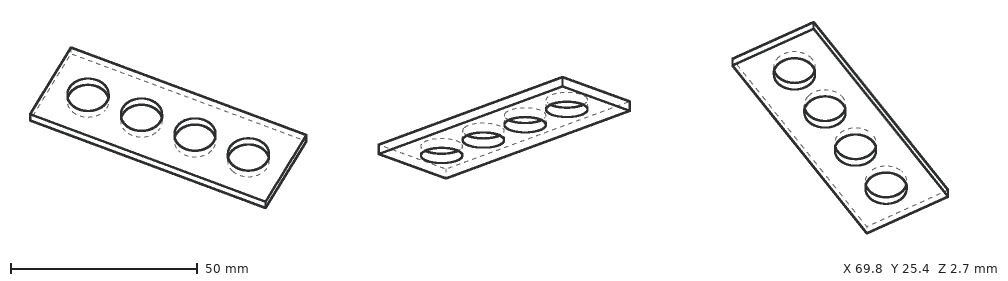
import cadquery as cq

length = 69.85
width = 25.4
thickness = 2.7

hole_count = 4
hole_diameter = 11.1
hole_pitch = 15.85

plate = cq.Workplane("XY").box(length, width, thickness)

result = (
    plate.faces(">Z")
    .workplane()
    .rarray(hole_pitch, 0.7, hole_count, 1)
    .hole(hole_diameter)
)